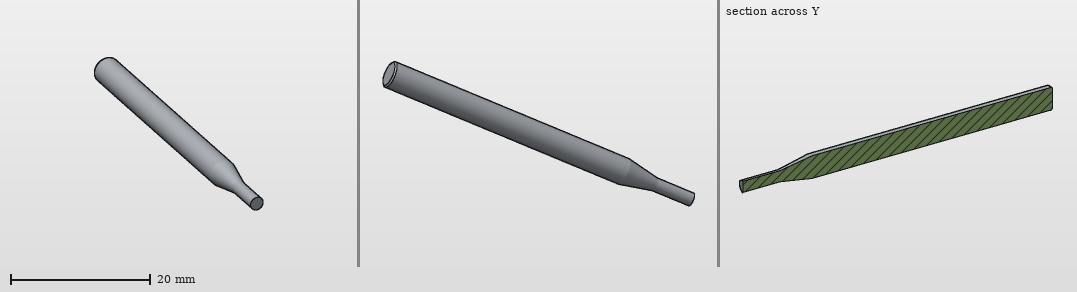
import cadquery as cq
import math

total_length = 50.0
shank_diameter = 4.0
tip_diameter = 2.0
tip_length = 6.0
taper_half_angle = 11.0
end_chamfer = 0.25

shank_radius = shank_diameter / 2
tip_radius = tip_diameter / 2
taper_length = (shank_radius - tip_radius) / math.tan(math.radians(taper_half_angle))
tip_start = total_length - tip_length
taper_start = tip_start - taper_length


def turned_pin():
    """Revolve the half profile: chamfered shank, tapered shoulder and slim tip."""
    half_profile = (
        cq.Workplane("XY")
        .moveTo(0, 0)
        .lineTo(0, shank_radius - end_chamfer)
        .lineTo(end_chamfer, shank_radius)
        .lineTo(taper_start, shank_radius)
        .lineTo(tip_start, tip_radius)
        .lineTo(total_length, tip_radius)
        .lineTo(total_length, 0)
        .close()
    )
    return half_profile.revolve(360, (0, 0, 0), (1, 0, 0))


result = turned_pin()